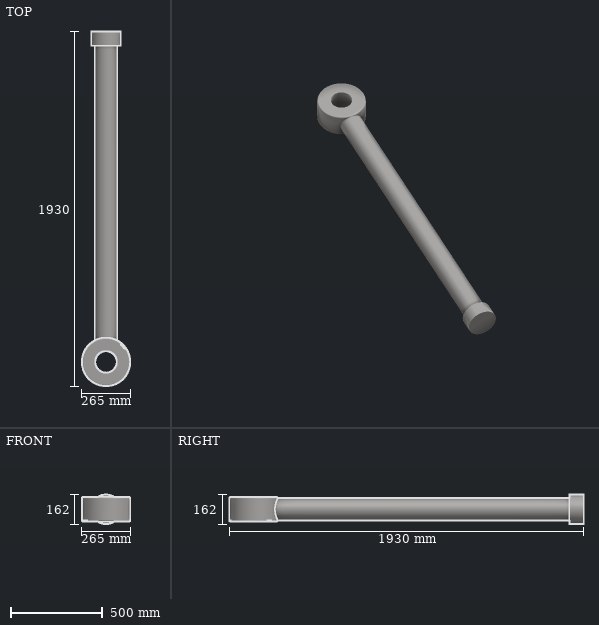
import cadquery as cq

total_length = 1930.0
eye_diameter = 265.0
eye_height = 135.0
eye_rim_radius = 8.7
bore_diameter = 115.0
rod_diameter = 123.0
collar_diameter = 162.0
collar_length = 80.0

rod_end = total_length - eye_diameter / 2
collar_start = rod_end - collar_length


def cylinder_along_y(diameter, start, end):
    """Solid cylinder on the Y axis between two Y positions."""
    base = cq.Workplane("XZ", origin=(0, start, 0))
    return base.circle(diameter / 2).extrude(start - end)


def eye_blank():
    """Upright disc with rounded rims."""
    disc = cq.Workplane("XY").circle(eye_diameter / 2).extrude(eye_height / 2, both=True)
    return disc.edges("%CIRCLE").fillet(eye_rim_radius)


rod = cylinder_along_y(rod_diameter, 0, rod_end)
collar = cylinder_along_y(collar_diameter, collar_start, rod_end)
bore = cq.Workplane("XY").circle(bore_diameter / 2).extrude(eye_height, both=True)

result = eye_blank().union(rod).union(collar).cut(bore)